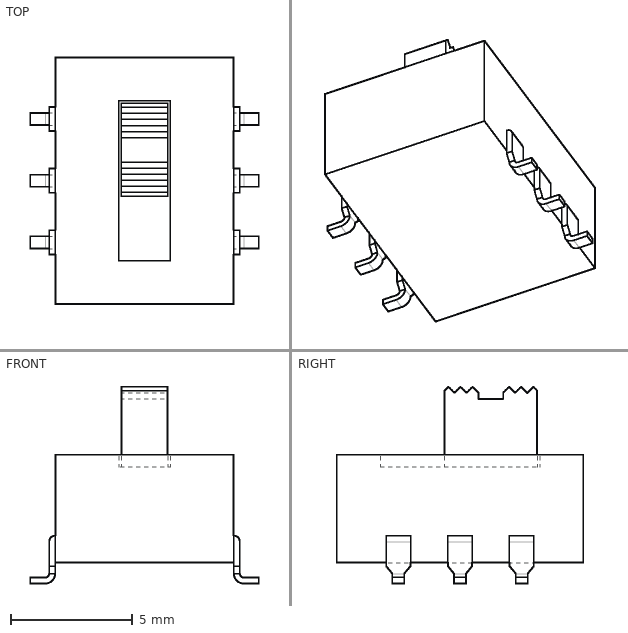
import cadquery as cq


housing_width = 7.35
housing_length = 10.16
housing_height = 4.45
slot_width = 2.12
slot_length = 6.58
slot_depth = 0.51

lever_gap = 0.11
lever_width = slot_width - 2 * lever_gap
lever_length = 3.82
lever_rise = 2.79
finger_recess_length = 1.01
finger_recess_depth = 0.5
teeth_per_group = 3
tooth_pitch = 0.5
tooth_depth = tooth_pitch / 2
lever_bottom = housing_height - slot_depth
lever_top = housing_height + lever_rise
lever_center_y = slot_length / 2 - lever_gap - lever_length / 2

overall_width = 9.41
terminal_rows = 3
terminal_pitch = 2.54
terminal_thickness = 0.25
terminal_top = 1.12
terminal_bottom = -0.86
terminal_width = 1.01
neck_width = 0.51
taper_height = 0.3
inner_bend_radius = 0.16
outer_bend_radius = inner_bend_radius + terminal_thickness
neck_top = terminal_bottom + outer_bend_radius
taper_top = neck_top + taper_height


def make_housing():
    """Rectangular block with a shallow slot in its top face."""
    block = cq.Workplane("XY").box(
        housing_width, housing_length, housing_height, centered=(True, True, False)
    )
    slot = (
        cq.Workplane("XY", origin=(0, 0, lever_bottom))
        .box(slot_width, slot_length, slot_depth, centered=(True, True, False))
    )
    return block.cut(slot)


def tooth_profile():
    """Points of the +Y half of the grip, from the finger recess out to the lever end."""
    recess_end = finger_recess_length / 2
    lever_end = lever_length / 2
    valley = lever_top - tooth_depth
    points = [(recess_end, lever_top - finger_recess_depth)]
    for tooth in range(teeth_per_group):
        tooth_start = recess_end + tooth * tooth_pitch
        points.append((tooth_start, valley))
        points.append((tooth_start + tooth_pitch / 2, lever_top))

    last_peak_y = points[-1][0]
    points.append((lever_end, lever_top - (lever_end - last_peak_y)))
    return points


def make_lever():
    """Upright slider with two groups of grip teeth and a finger recess between them."""
    half_grip = tooth_profile()
    mirrored_grip = [(-y, z) for y, z in reversed(half_grip)]
    outline = [
        (-lever_length / 2, lever_bottom),
        *mirrored_grip,
        *half_grip,
        (lever_length / 2, lever_bottom),
    ]
    return (
        cq.Workplane("YZ", origin=(0, lever_center_y, 0))
        .polyline(outline)
        .close()
        .extrude(lever_width / 2, both=True)
    )


def make_terminal():
    """Terminal on the +X wall at Y = 0: bent strip trimmed to a wide tab and a narrow neck."""
    wall = housing_width / 2
    outer_face = wall + terminal_thickness
    toe = overall_width / 2
    foot_top = terminal_bottom + terminal_thickness
    bend_end = wall + outer_bend_radius
    strip = (
        cq.Workplane("XZ")
        .moveTo(wall, terminal_top)
        .lineTo(wall, neck_top)
        .radiusArc((bend_end, terminal_bottom), -outer_bend_radius)
        .lineTo(toe, terminal_bottom)
        .lineTo(toe, foot_top)
        .lineTo(bend_end, foot_top)
        .radiusArc((outer_face, neck_top), inner_bend_radius)
        .lineTo(outer_face, terminal_top - terminal_thickness)
        .radiusArc((wall, terminal_top), -terminal_thickness)
        .close()
        .extrude(terminal_width / 2, both=True)
    )
    half_tab = terminal_width / 2
    half_neck = neck_width / 2
    front_outline = (
        cq.Workplane("YZ", origin=(wall, 0, 0))
        .polyline([
            (-half_tab, terminal_top),
            (-half_tab, taper_top),
            (-half_neck, neck_top),
            (-half_neck, terminal_bottom),
            (half_neck, terminal_bottom),
            (half_neck, neck_top),
            (half_tab, taper_top),
            (half_tab, terminal_top),
        ])
        .close()
        .extrude(toe - wall)
    )
    return strip.intersect(front_outline)


def make_terminals():
    """One row of terminals along each side wall, as separate solids."""
    right_terminal = make_terminal()
    left_terminal = right_terminal.mirror("YZ")
    terminals = []
    for row in range(terminal_rows):
        y = (row - (terminal_rows - 1) / 2) * terminal_pitch
        for side_terminal in (left_terminal, right_terminal):
            terminals.append(side_terminal.translate((0, y, 0)).solids().val())
    return terminals


housing = make_housing()
lever = make_lever()
terminals = make_terminals()

result = cq.Compound.makeCompound([housing.solids().val(), lever.solids().val(), *terminals])